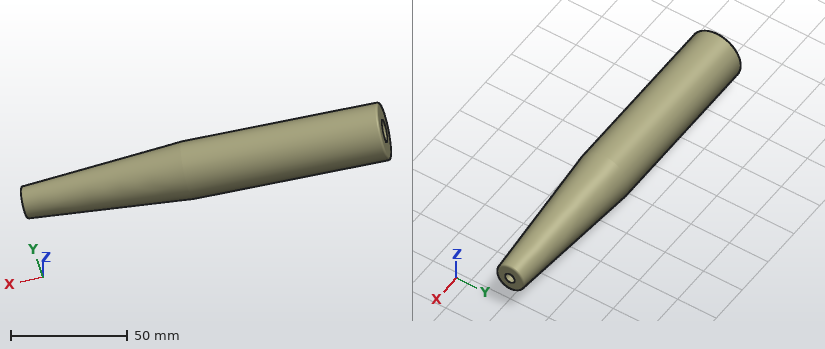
import cadquery as cq
import math

length = 160.0
body_diameter = 25.5
body_length = 87.4
tip_diameter = 14.0
edge_radius = 1.0

bore_diameter = 10.0
bore_depth = 48.0
through_diameter = 5.0
drill_point_angle = 118.0


def make_outside():
    """Cylinder running into a cone, with both end rims rounded."""
    profile = (
        cq.Workplane("XY")
        .lineTo(0, body_diameter / 2)
        .lineTo(body_length, body_diameter / 2)
        .lineTo(length, tip_diameter / 2)
        .lineTo(length, 0)
        .close()
    )
    solid = profile.revolve(360, (0, 0, 0), (1, 0, 0))
    return solid.faces("<X or >X").edges().fillet(edge_radius)


def make_bore():
    """Wide bore with a conical bottom that leads into the narrow through hole."""
    radius_step = (bore_diameter - through_diameter) / 2
    cone_length = radius_step / math.tan(math.radians(drill_point_angle / 2))
    profile = (
        cq.Workplane("XY")
        .lineTo(0, bore_diameter / 2)
        .lineTo(bore_depth, bore_diameter / 2)
        .lineTo(bore_depth + cone_length, through_diameter / 2)
        .lineTo(length, through_diameter / 2)
        .lineTo(length, 0)
        .close()
    )
    return profile.revolve(360, (0, 0, 0), (1, 0, 0))


result = make_outside().cut(make_bore())